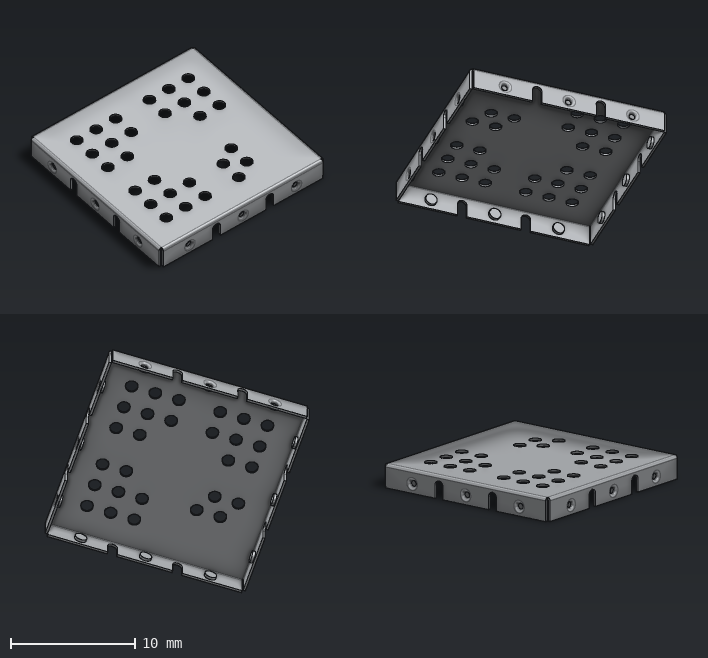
import cadquery as cq
import math

side = 16.96
height = 2.0
sheet = 0.2
bend_outer = 0.25
bend_inner = bend_outer - sheet
plate_side = side - 2 * bend_outer

hole_diameter = 1.0
hole_pitch = 2.0
hole_outermost = 5.75
group_size = 3
extra_row_x = 2.75
extra_row_y = 3.35
extra_row_count = 2

slot_width = 0.8
slot_offset = 2.75
slot_top = 1.51

dimple_offset = 5.5
dimple_z = 0.8
dimple_mouth_radius = 0.55
dimple_throat_radius = 0.29
dimple_floor_radius = 0.24
dimple_steepness = math.radians(60)
flare_radius = (dimple_mouth_radius - dimple_throat_radius) / math.sin(dimple_steepness)
throat_depth = flare_radius * (1 - math.cos(dimple_steepness))
cone_depth = (dimple_throat_radius - dimple_floor_radius) * math.tan(dimple_steepness)
dimple_depth = throat_depth + cone_depth
dimple_positions = [-dimple_offset, 0, dimple_offset]


def wall_blank():
    """Wall on the -Y side, with the quarter bend that joins it to the top."""
    outer_y = -side / 2
    inner_y = outer_y + sheet
    bend_y = -plate_side / 2
    bend_z = height - bend_outer
    diagonal = math.sqrt(0.5)
    return (
        cq.Workplane("YZ")
        .moveTo(outer_y, 0)
        .lineTo(outer_y, bend_z)
        .threePointArc(
            (bend_y - bend_outer * diagonal, bend_z + bend_outer * diagonal),
            (bend_y, height),
        )
        .lineTo(bend_y, height - sheet)
        .threePointArc(
            (bend_y - bend_inner * diagonal, bend_z + bend_inner * diagonal),
            (inner_y, bend_z),
        )
        .lineTo(inner_y, 0)
        .close()
        .extrude(plate_side / 2, both=True)
    )


def slot(x):
    """Round-topped cutter running up from the bottom edge of the -Y wall."""
    radius = slot_width / 2
    return (
        cq.Workplane("XZ", origin=(x, -side / 2, 0))
        .moveTo(-radius, 0)
        .lineTo(-radius, slot_top - radius)
        .threePointArc((0, slot_top), (radius, slot_top - radius))
        .lineTo(radius, 0)
        .close()
        .extrude(-sheet)
    )


def dimple_cavity(x):
    """Pocket with a flared mouth, a short steep cone and a flat floor."""
    half_slope = dimple_steepness / 2
    return (
        cq.Workplane("XY", origin=(x, -side / 2, dimple_z))
        .lineTo(dimple_mouth_radius, 0)
        .threePointArc(
            (
                dimple_mouth_radius - flare_radius * math.sin(half_slope),
                flare_radius * (1 - math.cos(half_slope)),
            ),
            (dimple_throat_radius, throat_depth),
        )
        .lineTo(dimple_floor_radius, dimple_depth)
        .lineTo(0, dimple_depth)
        .close()
        .revolve(360, (0, 0, 0), (0, 1, 0))
    )


def dimple_boss(x):
    """Bump left on the inner face, one sheet thickness around the cavity."""
    return (
        cq.Workplane("XZ", origin=(x, -side / 2, dimple_z))
        .circle(dimple_throat_radius + sheet)
        .extrude(-(dimple_depth + sheet))
    )


def wall():
    """Complete -Y wall: dimples pressed in and slots cut out."""
    body = wall_blank()
    for x in dimple_positions:
        body = body.union(dimple_boss(x)).cut(dimple_cavity(x))
    for x in (-slot_offset, slot_offset):
        body = body.cut(slot(x))
    return body


def vent_hole_centres():
    """Three-by-three corner groups without their innermost hole.

    The +X +Y group keeps only its row nearest the X axis, plus a staggered row above it.
    """
    steps = [hole_outermost - i * hole_pitch for i in range(group_size)]
    innermost = steps[-1]
    centres = []
    for x_sign in (-1, 1):
        for y_sign in (-1, 1):
            for x in steps:
                for y in steps:
                    nearest_centre = x == innermost and y == innermost
                    reduced_group = x_sign > 0 and y_sign > 0
                    if nearest_centre or (reduced_group and y != innermost):
                        continue
                    centres.append((x_sign * x, y_sign * y))
    centres += [(extra_row_x + i * hole_pitch, extra_row_y) for i in range(extra_row_count)]
    return centres


def top_plate():
    """Flat square top with its vent holes."""
    underside = cq.Workplane("XY", origin=(0, 0, height - sheet))
    holes = underside.pushPoints(vent_hole_centres()).circle(hole_diameter / 2).extrude(sheet)
    return underside.rect(plate_side, plate_side).extrude(sheet).cut(holes)


result = top_plate()
for quarter_turn in range(4):
    result = result.union(wall().rotate((0, 0, 0), (0, 0, 1), 90 * quarter_turn))